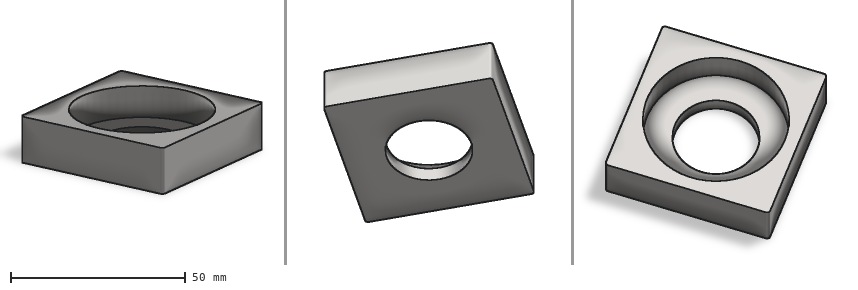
import cadquery as cq

side = 50.0
height = 14.0
corner_radius = 1.0

bore_diameter = 25.0
recess_diameter = 42.0
recess_depth = 9.5

block = (
    cq.Workplane("XY")
    .box(side, side, height, centered=(True, True, False))
    .edges("|Z")
    .fillet(corner_radius)
)

result = block.faces(">Z").workplane().cboreHole(bore_diameter, recess_diameter, recess_depth)